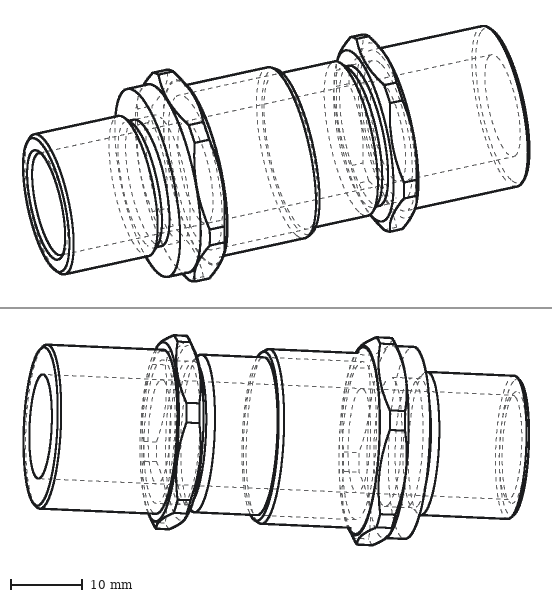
import cadquery as cq
import math

LENGTH = 67.5
BORE_DIAMETER = 14.5
SLOPE_30 = math.tan(math.radians(30))

THREAD_DIAMETER = 20.0
THREAD_CHAMFER = 0.5
THREAD_END = 12.9
FRONT_NECK_DIAMETER = 18.0
FRONT_NECK_START = THREAD_END + (THREAD_DIAMETER - FRONT_NECK_DIAMETER) / 2
MOUTH_CHAMFER = 0.55
ENTRY_HEX_START = 18.0
ENTRY_HEX_END = 22.1
ENTRY_HEX_FLATS = 27.0
ENTRY_HEX_CORNERS = 29.7
ENTRY_HEX_FRONT_FACE = 26.85
ENTRY_HEX_REAR_FACE = 26.05
SLEEVE_DIAMETER = 24.4
SLEEVE_FILLET = 1.0
SLEEVE_END = 36.2
SLEEVE_CHAMFER_LENGTH = 0.7
SLEEVE_CHAMFER_DEPTH = SLEEVE_CHAMFER_LENGTH * SLOPE_30

WASHER_DIAMETER = 26.8
WASHER_THICKNESS = 3.05

MIDDLE_DIAMETER = 22.0
MIDDLE_START = ENTRY_HEX_END
MIDDLE_SHOULDER = 45.1
REAR_NECK_DIAMETER = 20.0
REAR_NECK_START = MIDDLE_SHOULDER + (MIDDLE_DIAMETER - REAR_NECK_DIAMETER) / 2

NUT_HEX_START = 47.0
NUT_HEX_END = 50.55
NUT_HEX_FLATS = 25.25
NUT_HEX_CORNERS = 27.7
NUT_HEX_FRONT_FACE = 24.4
NUT_HEX_REAR_FACE = 25.0
BARREL_DIAMETER = 22.9
BARREL_CHAMFER = 0.4


def cylinder(diameter, start, end):
    """Round bar along +Y between two stations."""
    return cq.Workplane("XZ", origin=(0, start, 0)).circle(diameter / 2).extrude(start - end)


def revolve_about_y(profile):
    """Full turn of a closed (radius, Y) profile about the part axis."""
    return profile.close().revolve(360, (0, 0, 0), (0, 1, 0))


def chamfered_hexagon(flats, corners, start, end, front_face, rear_face):
    """Hexagon with flats at +Z and -Z, trimmed corners and 30 degree face chamfers."""
    across_points = flats / math.cos(math.radians(30))
    prism = cq.Workplane("XZ", origin=(0, start, 0)).polygon(6, across_points).extrude(start - end)
    radius = corners / 2
    front_radius = front_face / 2
    rear_radius = rear_face / 2
    envelope = revolve_about_y(
        cq.Workplane("XY")
        .moveTo(0, start)
        .lineTo(front_radius, start)
        .lineTo(radius, start + (radius - front_radius) * SLOPE_30)
        .lineTo(radius, end - (radius - rear_radius) * SLOPE_30)
        .lineTo(rear_radius, end)
        .lineTo(0, end)
    )
    return prism.intersect(envelope)


def make_entry_body():
    thread_radius = THREAD_DIAMETER / 2
    neck_radius = FRONT_NECK_DIAMETER / 2
    sleeve_radius = SLEEVE_DIAMETER / 2
    fillet_bend = SLEEVE_FILLET * (1 - math.sqrt(0.5))
    turned = revolve_about_y(
        cq.Workplane("XY")
        .lineTo(thread_radius - THREAD_CHAMFER, 0)
        .lineTo(thread_radius, THREAD_CHAMFER)
        .lineTo(thread_radius, THREAD_END)
        .lineTo(neck_radius, FRONT_NECK_START)
        .lineTo(neck_radius, ENTRY_HEX_END)
        .lineTo(sleeve_radius + SLEEVE_FILLET, ENTRY_HEX_END)
        .threePointArc(
            (sleeve_radius + fillet_bend, ENTRY_HEX_END + fillet_bend),
            (sleeve_radius, ENTRY_HEX_END + SLEEVE_FILLET),
        )
        .lineTo(sleeve_radius, SLEEVE_END - SLEEVE_CHAMFER_LENGTH)
        .lineTo(sleeve_radius - SLEEVE_CHAMFER_DEPTH, SLEEVE_END)
        .lineTo(0, SLEEVE_END)
    )
    hexagon = chamfered_hexagon(
        ENTRY_HEX_FLATS, ENTRY_HEX_CORNERS, ENTRY_HEX_START, ENTRY_HEX_END,
        ENTRY_HEX_FRONT_FACE, ENTRY_HEX_REAR_FACE,
    )
    bore = cylinder(BORE_DIAMETER, 0, SLEEVE_END)
    bore_radius = BORE_DIAMETER / 2
    mouth = revolve_about_y(
        cq.Workplane("XY")
        .lineTo(bore_radius + MOUTH_CHAMFER, 0)
        .lineTo(bore_radius, MOUTH_CHAMFER)
        .lineTo(0, MOUTH_CHAMFER)
    )
    seat = cylinder(MIDDLE_DIAMETER, MIDDLE_START, SLEEVE_END)
    return turned.union(hexagon).cut(bore).cut(mouth).cut(seat)


def make_washer():
    washer_start = ENTRY_HEX_START - WASHER_THICKNESS
    ring = cylinder(WASHER_DIAMETER, washer_start, ENTRY_HEX_START)
    return ring.cut(cylinder(FRONT_NECK_DIAMETER, washer_start, ENTRY_HEX_START))


def make_middle_body():
    middle_radius = MIDDLE_DIAMETER / 2
    neck_radius = REAR_NECK_DIAMETER / 2
    bore_radius = BORE_DIAMETER / 2
    return revolve_about_y(
        cq.Workplane("XY")
        .moveTo(bore_radius, MIDDLE_START)
        .lineTo(middle_radius, MIDDLE_START)
        .lineTo(middle_radius, MIDDLE_SHOULDER)
        .lineTo(neck_radius, REAR_NECK_START)
        .lineTo(neck_radius, NUT_HEX_END)
        .lineTo(bore_radius, NUT_HEX_END)
    )


def make_rear_nut():
    barrel = cylinder(BARREL_DIAMETER, NUT_HEX_START, LENGTH).faces(">Y").chamfer(BARREL_CHAMFER)
    hexagon = chamfered_hexagon(
        NUT_HEX_FLATS, NUT_HEX_CORNERS, NUT_HEX_START, NUT_HEX_END,
        NUT_HEX_FRONT_FACE, NUT_HEX_REAR_FACE,
    )
    neck_socket = cylinder(REAR_NECK_DIAMETER, NUT_HEX_START, NUT_HEX_END)
    bore = cylinder(BORE_DIAMETER, NUT_HEX_START, LENGTH)
    return barrel.union(hexagon).cut(neck_socket).cut(bore)


def make_core():
    """Round core filling the bore behind the chamfered mouth."""
    return cylinder(BORE_DIAMETER, MOUTH_CHAMFER, LENGTH)


entry_body = make_entry_body()
washer = make_washer()
middle_body = make_middle_body()
rear_nut = make_rear_nut()
core = make_core()

result = cq.Compound.makeCompound(
    [entry_body.val(), washer.val(), middle_body.val(), rear_nut.val(), core.val()]
)